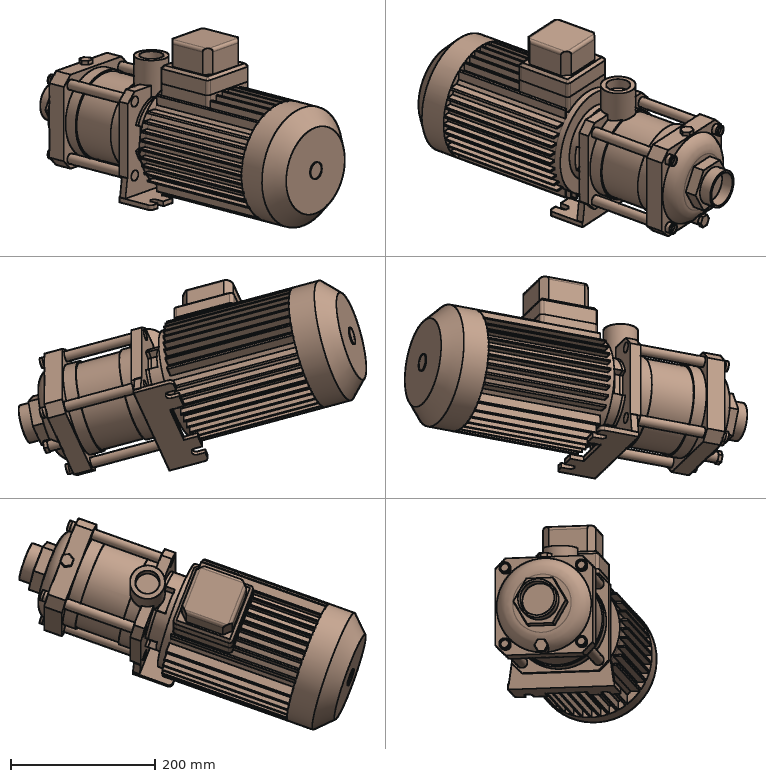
import cadquery as cq
import math

LENGTH = 481.0

INLET_DIA = 54.5
INLET_BORE = 48.0
HEX_START = 18.0
HEX_FLATS = 64.0

PLATE_SIDE = 137.0
PLATE_CHAMFER = 14.5
PLATE_START = 52.5
PLATE_END = 79.0
DOME_START = 35.0
DOME_ROUND = 27.5
DOME_DIA = PLATE_SIDE

PLUG_FLATS = 16.5
PLUG_HEAD = 6.0
VENT_X = 60.5
DRAIN_START = 29.5
DRAIN_Z = -60.5
DRAIN_SHANK_DIA = 16.0

ROD_DIA = 15.0
ROD_OFFSET = 54.0
ROD_START = 43.0
SOCKET_DIA = 12.0
SOCKET_DEPTH = 4.0

COLLAR_DIA = 130.0
BARREL_DIA = 125.0
BARREL_START = 97.0
BARREL_END = 161.0
REAR_PLATE_START = 180.0
REAR_PLATE_END = 196.0
HUB_END = 200.0
LANTERN_DIA = 110.0

OUTLET_DIA = 48.5
OUTLET_BORE = 33.5
OUTLET_BOTTOM = 52.0
OUTLET_TOP = 105.0
OUTLET_BORE_DEPTH = 14.5

FOOT_WIDTH = 149.5
FOOT_TOP_WIDTH = 139.5
FOOT_BOTTOM = -90.0
FOOT_START = REAR_PLATE_END - 10.0
FOOT_END = 243.5
FOOT_BASE_THICKNESS = 7.0
FOOT_CORNER = 6.0
SLOT_WIDTH = 11.5
SLOT_LENGTH = 17.5
SLOT_Y = 54.5
FOOT_GAP_START = 223.0
FOOT_GAP_WIDTH = 57.5

WINDOW_COUNT = 4
WINDOW_END = 213.0
WINDOW_WIDTH = 37.5
WINDOW_FLOOR = 42.5

FLANGE_DIA = 152.0
FLANGE_START = 223.0
FIN_START = 233.5
MOTOR_DIA = 172.0
COVER_START = 418.0
CONE_START = 455.5
CONE_END = 479.5
CONE_END_DIA = 125.0
BOSS_DIA = 24.0
FIN_THICKNESS = 2.5
FIN_PITCH = 12.5
FINS_PER_HALF = 4

BASE_LENGTH = 87.5
BASE_WIDTH = 88.5
BASE_TOP = 112.0
BASE_ROUND = 5.0
BASE_TOP_CHAMFER = 4.5
COVER_SIDE = 74.5
COVER_FRONT = 241.0
COVER_TOP = 150.0
COVER_ROUND = 5.0
COVER_CORNER = 10.0


def cylinder(dia, start, end):
    """Round bar on the pump axis."""
    return cq.Workplane("YZ", origin=(start, 0, 0)).circle(dia / 2).extrude(end - start)


def upright_cylinder(dia, x, bottom, top):
    return cq.Workplane("XY", origin=(x, 0, bottom)).circle(dia / 2).extrude(top - bottom)


def upright_block(start, length, width, bottom, top):
    """Rectangular block centred on the XZ plane."""
    center_x = start + length / 2
    return cq.Workplane("XY", origin=(center_x, 0, bottom)).rect(length, width).extrude(top - bottom)


def hexagon(plane, flats, height):
    return plane.polygon(6, flats / math.cos(math.pi / 6)).extrude(height)


def square_plate(start, end):
    plate = cq.Workplane("YZ", origin=(start, 0, 0)).rect(PLATE_SIDE, PLATE_SIDE).extrude(end - start)
    return plate.edges("|X").chamfer(PLATE_CHAMFER)


def rod_bars(dia, start, end):
    """Four round bars at the corners of the plates."""
    corners = cq.Workplane("YZ", origin=(start, 0, 0)).rect(2 * ROD_OFFSET, 2 * ROD_OFFSET, forConstruction=True)
    return corners.vertices().circle(dia / 2).extrude(end - start)



def make_tie_rod(y, z):
    rod = cq.Workplane("YZ", origin=(ROD_START, y, z)).circle(ROD_DIA / 2).extrude(REAR_PLATE_END - ROD_START)
    return rod.faces("<X").workplane().hole(SOCKET_DIA, SOCKET_DEPTH)


def make_vent_plug():
    seat = cq.Workplane("XY", origin=(VENT_X, 0, PLATE_SIDE / 2)).transformed(rotate=(0, 0, 90))
    return hexagon(seat, PLUG_FLATS, PLUG_HEAD)


def make_drain_plug():
    plane = cq.Workplane("YZ", origin=(DRAIN_START, 0, DRAIN_Z))
    shank = plane.circle(DRAIN_SHANK_DIA / 2).extrude(PLATE_START - DRAIN_START)
    return hexagon(plane, PLUG_FLATS, PLUG_HEAD).union(shank)



def make_inlet_head(drain_plug):
    dome = cylinder(DOME_DIA, DOME_START, PLATE_END).faces("<X").edges().fillet(DOME_ROUND)
    plate = square_plate(PLATE_START, PLATE_END)
    hex_plane = cq.Workplane("YZ", origin=(HEX_START, 0, 0))
    head = plate.union(dome)
    head = head.union(hexagon(hex_plane, HEX_FLATS, DOME_START - HEX_START))
    head = head.union(cylinder(INLET_DIA, 0, HEX_START))
    head = head.cut(cylinder(INLET_BORE, 0, HEX_START))
    head = head.cut(rod_bars(ROD_DIA, DOME_START, PLATE_END))
    return head.cut(drain_plug)



def make_foot():
    plate_corner_z = PLATE_CHAMFER - PLATE_SIDE / 2
    upright_outline = [
        (-FOOT_WIDTH / 2, FOOT_BOTTOM),
        (FOOT_WIDTH / 2, FOOT_BOTTOM),
        (FOOT_TOP_WIDTH / 2, plate_corner_z),
        (-FOOT_TOP_WIDTH / 2, plate_corner_z),
    ]
    upright = cq.Workplane("YZ", origin=(FOOT_START, 0, 0)).polyline(upright_outline).close()
    upright = upright.extrude(REAR_PLATE_END - FOOT_START)

    base_top = FOOT_BOTTOM + FOOT_BASE_THICKNESS
    base = upright_block(FOOT_START, FOOT_END - FOOT_START, FOOT_WIDTH, FOOT_BOTTOM, base_top)
    base = base.edges("|Z and >X").fillet(FOOT_CORNER)
    slots = (
        cq.Workplane("XY", origin=(FOOT_END, 0, FOOT_BOTTOM))
        .pushPoints([(0, -SLOT_Y), (0, SLOT_Y)])
        .slot2D(2 * SLOT_LENGTH, SLOT_WIDTH)
        .extrude(FOOT_BASE_THICKNESS)
    )
    gap = upright_block(FOOT_GAP_START, FOOT_END - FOOT_GAP_START, FOOT_GAP_WIDTH, FOOT_BOTTOM, base_top)
    return upright.union(base.cut(slots).cut(gap))


def make_windows():
    """Wedge-shaped cutters spaced around the lantern, just behind the rear plate."""
    lantern_radius = LANTERN_DIA / 2
    edge_height = math.sqrt(lantern_radius**2 - (WINDOW_WIDTH / 2) ** 2)
    wall_slope = WINDOW_WIDTH / 2 / edge_height
    floor_half = wall_slope * WINDOW_FLOOR
    top_half = wall_slope * lantern_radius
    outline = [
        (-floor_half, WINDOW_FLOOR),
        (floor_half, WINDOW_FLOOR),
        (top_half, lantern_radius),
        (-top_half, lantern_radius),
    ]
    window = cq.Workplane("YZ", origin=(REAR_PLATE_END, 0, 0)).polyline(outline).close()
    window = window.extrude(WINDOW_END - REAR_PLATE_END)
    windows = cq.Workplane("XY")
    for index in range(WINDOW_COUNT):
        windows = windows.add(window.rotate((0, 0, 0), (1, 0, 0), index * 360 / WINDOW_COUNT))
    return windows.combine()


def make_casing(windows):
    casing = cylinder(COLLAR_DIA, PLATE_END, BARREL_START)
    casing = casing.union(cylinder(BARREL_DIA, BARREL_START, BARREL_END))
    casing = casing.union(cylinder(COLLAR_DIA, BARREL_END, REAR_PLATE_START))
    casing = casing.union(square_plate(REAR_PLATE_START, REAR_PLATE_END))
    casing = casing.union(cylinder(LANTERN_DIA, REAR_PLATE_END, HUB_END)).cut(windows)
    casing = casing.union(make_foot())
    casing = casing.union(upright_cylinder(OUTLET_DIA, REAR_PLATE_START, OUTLET_BOTTOM, OUTLET_TOP))
    bore_floor = OUTLET_TOP - OUTLET_BORE_DEPTH
    casing = casing.cut(upright_cylinder(OUTLET_BORE, REAR_PLATE_START, bore_floor, OUTLET_TOP))
    return casing.cut(rod_bars(ROD_DIA, REAR_PLATE_START, REAR_PLATE_END))



def make_finned_housing():
    """Core as wide as the flange, with level fins on the sides and upright fins above and below."""
    span = COVER_START - FIN_START
    housing = cylinder(FLANGE_DIA, FIN_START, COVER_START)
    for index in range(-FINS_PER_HALF, FINS_PER_HALF + 1):
        offset = index * FIN_PITCH
        level = cq.Workplane("YZ", origin=(FIN_START, 0, offset)).rect(MOTOR_DIA, FIN_THICKNESS)
        upright = cq.Workplane("YZ", origin=(FIN_START, offset, 0)).rect(FIN_THICKNESS, MOTOR_DIA)
        housing = housing.union(level.extrude(span)).union(upright.extrude(span))
    return housing.intersect(cylinder(MOTOR_DIA, FIN_START, COVER_START))


def make_fan_cover():
    outline = [
        (COVER_START, 0),
        (COVER_START, MOTOR_DIA / 2),
        (CONE_START, MOTOR_DIA / 2),
        (CONE_END, CONE_END_DIA / 2),
        (CONE_END, BOSS_DIA / 2),
        (LENGTH, BOSS_DIA / 2),
        (LENGTH, 0),
    ]
    return cq.Workplane("XZ").polyline(outline).close().revolve(360, (0, 0, 0), (1, 0, 0))


def make_motor(windows):
    pad_top = MOTOR_DIA / 2
    pad = upright_block(FIN_START, BASE_LENGTH, BASE_WIDTH, 0, pad_top).edges("|Z").fillet(BASE_ROUND)
    motor = cylinder(LANTERN_DIA, HUB_END, FLANGE_START).cut(windows)
    motor = motor.union(cylinder(FLANGE_DIA, FLANGE_START, FIN_START))
    motor = motor.union(make_finned_housing())
    motor = motor.union(make_fan_cover())
    return motor.union(pad)



def make_terminal_box():
    base = upright_block(FIN_START, BASE_LENGTH, BASE_WIDTH, MOTOR_DIA / 2, BASE_TOP)
    base = base.edges("|Z").fillet(BASE_ROUND).faces(">Z").edges().chamfer(BASE_TOP_CHAMFER)

    block = upright_block(COVER_FRONT, COVER_SIDE, COVER_SIDE, BASE_TOP, COVER_TOP)
    cover = block.faces(">Z").edges().fillet(COVER_ROUND)
    cover = cover.intersect(block.edges("|Z").chamfer(COVER_CORNER))
    return base.union(cover)


lantern_windows = make_windows()
vent_plug = make_vent_plug()
drain_plug = make_drain_plug()
inlet_head = make_inlet_head(drain_plug)
casing = make_casing(lantern_windows)
motor = make_motor(lantern_windows)
terminal_box = make_terminal_box()

tie_rods = []
for rod_y in (-ROD_OFFSET, ROD_OFFSET):
    for rod_z in (-ROD_OFFSET, ROD_OFFSET):
        tie_rods.append(make_tie_rod(rod_y, rod_z).val())

result = cq.Compound.makeCompound(
    [
        inlet_head.val(),
        casing.val(),
        motor.val(),
        terminal_box.val(),
        vent_plug.val(),
        drain_plug.val(),
        *tie_rods,
    ]
)